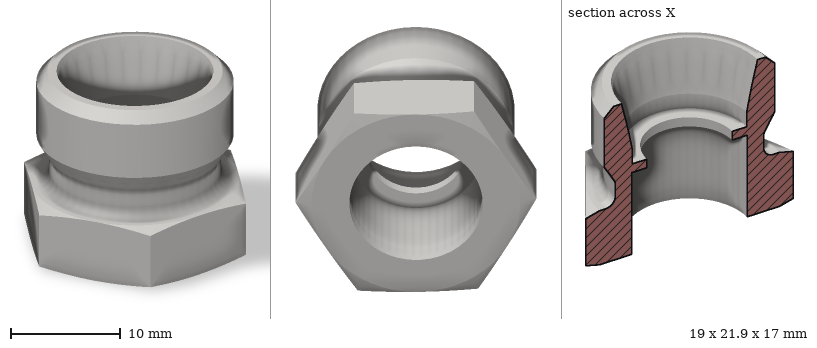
import cadquery as cq
import math

hex_across_flats = 19.0
hex_height = 6.0
hex_chamfer_angle = 15.0
hex_across_corners = hex_across_flats / math.cos(math.radians(30))

total_height = 17.0
spigot_radius = 18.0 / 2
spigot_chamfer = 1.0

neck_radius = 15.7 / 2
neck_fillet = 1.0
neck_height = 2.6
flank_angle = 60.0
flank_bottom = hex_height + neck_height
flank_rise = (spigot_radius - neck_radius) * math.tan(math.radians(flank_angle))
flank_top = flank_bottom + flank_rise

bore_radius = 9.0 / 2
counterbore_radius = 12.15 / 2
counterbore_depth = 9.0
socket_radius = 12.0 / 2
socket_depth = 7.0
cone_mouth_radius = 14.3 / 2
cone_half_angle = 12.0
cone_depth = (cone_mouth_radius - socket_radius) / math.tan(math.radians(cone_half_angle))


def revolve_profile(profile):
    """Turn a closed (radius, height) profile about the Z axis."""
    return profile.close().revolve(360, (0, 0, 0), (0, 1, 0))


def make_hexagon():
    """Hexagon with flats facing +X and -X, its corners chamfered at both ends."""
    corner_radius = hex_across_corners / 2
    flat_radius = hex_across_flats / 2
    corner_drop = (corner_radius - flat_radius) * math.tan(math.radians(hex_chamfer_angle))
    prism = (
        cq.Workplane("XY")
        .polygon(6, hex_across_corners)
        .extrude(hex_height)
        .rotate((0, 0, 0), (0, 0, 1), 30)
    )
    chamfer_envelope = revolve_profile(
        cq.Workplane("XZ")
        .lineTo(flat_radius, 0)
        .lineTo(corner_radius, corner_drop)
        .lineTo(corner_radius, hex_height - corner_drop)
        .lineTo(flat_radius, hex_height)
        .lineTo(0, hex_height)
    )
    return prism.intersect(chamfer_envelope)


def make_spigot():
    """Chamfered spigot with a rounded undercut running into the hexagon's top face."""
    turn = math.radians(90 - flank_angle)
    tangent = neck_fillet * math.tan(turn / 2)
    round_start = flank_bottom - tangent
    round_middle = (
        neck_radius + neck_fillet * (1 - math.cos(turn / 2)),
        round_start + neck_fillet * math.sin(turn / 2),
    )
    round_end = (
        neck_radius + neck_fillet * (1 - math.cos(turn)),
        round_start + neck_fillet * math.sin(turn),
    )
    foot_offset = neck_fillet * (1 - math.sqrt(0.5))
    foot_middle = (neck_radius + foot_offset, hex_height + foot_offset)
    return revolve_profile(
        cq.Workplane("XZ")
        .lineTo(neck_radius, 0)
        .lineTo(neck_radius, hex_height)
        .lineTo(neck_radius + neck_fillet, hex_height)
        .threePointArc(foot_middle, (neck_radius, hex_height + neck_fillet))
        .lineTo(neck_radius, round_start)
        .threePointArc(round_middle, round_end)
        .lineTo(spigot_radius, flank_top)
        .lineTo(spigot_radius, total_height - spigot_chamfer)
        .lineTo(spigot_radius - spigot_chamfer, total_height)
        .lineTo(0, total_height)
    )


def make_bore():
    """Through bore between the counterbore below and the tube socket and sealing cone above."""
    socket_floor = total_height - socket_depth
    cone_end = total_height - cone_depth
    return revolve_profile(
        cq.Workplane("XZ")
        .lineTo(counterbore_radius, 0)
        .lineTo(counterbore_radius, counterbore_depth)
        .lineTo(bore_radius, counterbore_depth)
        .lineTo(bore_radius, socket_floor)
        .lineTo(socket_radius, socket_floor)
        .lineTo(socket_radius, cone_end)
        .lineTo(cone_mouth_radius, total_height)
        .lineTo(0, total_height)
    )


result = make_hexagon().union(make_spigot()).cut(make_bore())